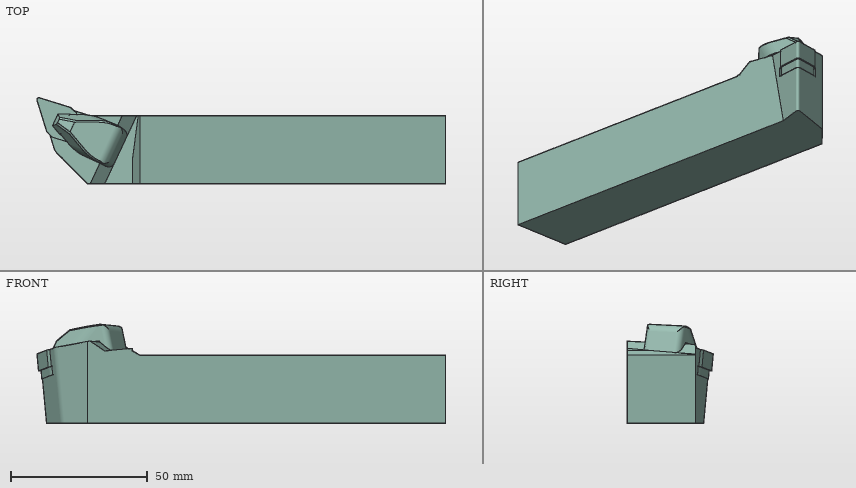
import cadquery as cq
import math

LENGTH = 149.6
SHANK = 25.0

SEAT_TILT = 7.5
TIP_Z = 25.3
TIP_REACH_Y = 31.5

POINT_HALF_ANGLE = 27.5
INSERT_WIDTH = 12.4
INSERT_THICKNESS = 6.3
NOSE_RADIUS = 0.8
CORNER_BEVEL = 2.8

SHIM_THICKNESS = 3.1
SHIM_INSET = 0.6
SHIM_CORNER_RADIUS = 5.5

FLANK_INSET = 0.7
FLANK_BLEND_RADIUS = 5.5
BEVEL_START_X = 18.5
WEDGE_LENGTH = 40.4
BLOCK_START_X = 13.5
HEAD_END_X = 35.0
RAMP_END_X = 37.7
RAMP_RISE = 1.6

STEP_START = 31.9
STEP_END = 36.2
STEP_DEPTH = 4.0

CLAMP_ANGLE = 20.0
CLAMP_OFFSET = -4.8
CLAMP_WIDTH = 15.1
CLAMP_HEIGHT = 6.6
NOSE_START = 10.2
NOSE_WIDTH = 4.6
NOSE_HEIGHT = 3.6
NOSE_TOP_END = 17.8
NOSE_TAPER = 25.0
NOSE_DRAFT = 25.0
PAD_END = 14.2
CLEARANCE = 0.52
BACK_LEAN = 1.2
SIDE_BLEND_RADIUS = 8.7
BACK_CORNER_DIAMETER = 4.3
BACK_TOP_DIAMETER = 6.5
TOP_CHAMFER = 0.52

REACH = 89.8

sin_point = math.sin(math.radians(POINT_HALF_ANGLE))
cos_point = math.cos(math.radians(POINT_HALF_ANGLE))
tan_point = sin_point / cos_point
sin_tilt = math.sin(math.radians(SEAT_TILT))
cos_tilt = math.cos(math.radians(SEAT_TILT))
tan_draft = math.tan(math.radians(NOSE_DRAFT))
cos_45 = math.sqrt(0.5)

sharp_overhang = NOSE_RADIUS * (cos_45 * cos_tilt / sin_point - 1)
tip_x = -sharp_overhang
tip_y = TIP_REACH_Y + sharp_overhang

SEAT = cq.Plane(
    origin=(tip_x, tip_y, TIP_Z),
    xDir=(cos_45 * cos_tilt, -cos_45 * cos_tilt, sin_tilt),
    normal=(-cos_45 * sin_tilt, cos_45 * sin_tilt, cos_tilt),
)
CLAMP_PLANE = SEAT.rotated((0, 0, CLAMP_ANGLE))
SHIM_TOP = -INSERT_THICKNESS
SHIM_BOTTOM = SHIM_TOP - SHIM_THICKNESS


def seat_workplane(height):
    """Workplane parallel to the seat plane, X along the insert's long diagonal from its sharp point."""
    return cq.Workplane(SEAT).workplane(offset=height)


def nearest(place):
    """Selects the edge or face whose centre is nearest to a point."""
    return cq.selectors.NearestToPointSelector(place)


def seat_edge(place):
    """Selects the edge nearest to a point given in seat coordinates."""
    return nearest(SEAT.toWorldCoords(place))


def rhombus(bottom, thickness, inset):
    """Rhombic plate whose two free edges are set back and whose two wall edges stay in place.

    Also returns the selectors of its nose edge and of its two wide corner edges.
    """
    near = inset / sin_point
    far = INSERT_WIDTH / sin_point
    middle = (near + far) / 2
    half_height = (far - near) / 2 * tan_point
    points = [(near, 0), (middle, half_height), (far, 0), (middle, -half_height)]
    plate = seat_workplane(bottom).polyline(points).close().extrude(thickness)
    nose = seat_edge((near, 0, bottom + thickness / 2))
    corners = [
        seat_edge((middle, side * half_height, bottom + thickness / 2))
        for side in (-1, 1)
    ]
    return plate, nose, corners


def make_insert():
    """Insert, square to the seat plane and flush with it."""
    plate, nose, corners = rhombus(SHIM_TOP, INSERT_THICKNESS, 0)
    plate = plate.edges(nose).fillet(NOSE_RADIUS)
    setback = CORNER_BEVEL / 2 / cos_point
    for corner in corners:
        plate = plate.edges(corner).chamfer(setback)
    return plate


def make_shim():
    """Shim plate and the sharp-cornered room that it lies in."""
    room, nose, corners = rhombus(SHIM_BOTTOM, SHIM_THICKNESS, SHIM_INSET)
    room = room.edges(nose).fillet(NOSE_RADIUS)
    shim = room
    for corner in corners:
        shim = shim.edges(corner).fillet(SHIM_CORNER_RADIUS)
    return shim, room


def make_head():
    """Wedge under the seat plane: two flanks square to the seat and an upright 45 degree bevel."""
    apex = FLANK_INSET / sin_point
    bevel = (BEVEL_START_X - tip_x - tip_y) * cos_45
    blend_u = apex - bevel / tan_point
    outline = [
        (apex, 0),
        (WEDGE_LENGTH, (WEDGE_LENGTH - apex) * tan_point),
        (WEDGE_LENGTH, bevel),
        (blend_u, bevel),
    ]
    head = seat_workplane(-REACH / 2).polyline(outline).close().extrude(REACH / 2)
    for u, v, radius in ((apex, 0, NOSE_RADIUS), (blend_u, bevel, FLANK_BLEND_RADIUS)):
        edge = seat_edge((u, v, -REACH / 4))
        head = head.edges(edge).fillet(radius)
    room = cq.Workplane("XY").box(HEAD_END_X, REACH, REACH, centered=False)
    return head.intersect(room)


def make_head_block():
    """Part of the head as wide as the shank, up to the seat plane."""
    outline = [
        (BLOCK_START_X, BEVEL_START_X - BLOCK_START_X),
        (BEVEL_START_X, 0),
        (HEAD_END_X, 0),
        (HEAD_END_X, SHANK),
        (BLOCK_START_X, SHANK),
    ]
    block = cq.Workplane("XY").polyline(outline).close().extrude(REACH)
    above_seat = seat_workplane(0).rect(2 * REACH, 2 * REACH).extrude(REACH)
    return block.cut(above_seat)


def make_shank():
    """Square bar with a short ramp up to the head."""
    profile = [
        (BEVEL_START_X, 0),
        (LENGTH, 0),
        (LENGTH, SHANK),
        (RAMP_END_X, SHANK),
        (HEAD_END_X, SHANK + RAMP_RISE),
        (BEVEL_START_X, SHANK + RAMP_RISE),
    ]
    return cq.Workplane("XZ").polyline(profile).close().extrude(-SHANK)


def clamp_point(distance, sideways, height):
    """Point at a distance along the clamp, measured sideways from its middle."""
    return CLAMP_PLANE.toWorldCoords((distance, CLAMP_OFFSET + sideways, height))


def clamp_profile(points):
    """Closed side outline of points (distance along the clamp, height above the seat)."""
    side = cq.Plane(
        origin=clamp_point(0, 0, 0),
        xDir=CLAMP_PLANE.xDir,
        normal=-CLAMP_PLANE.yDir,
    )
    return cq.Workplane(side).polyline(points).close()


def make_step_cut():
    """Everything above the slope and the shelf at the back of the head."""
    points = [
        (STEP_START, 0),
        (STEP_END, -STEP_DEPTH),
        (REACH, -STEP_DEPTH),
        (REACH, REACH),
        (STEP_START, REACH),
    ]
    return clamp_profile(points).extrude(REACH, both=True)


def make_clamp_wedge():
    """Tapered and drafted block that narrows the clamp towards its nose."""
    taper = math.tan(math.radians(NOSE_TAPER))
    far_end = 2 * STEP_END
    far_half_width = NOSE_WIDTH / 2 + (far_end - NOSE_START) * taper
    outline = [
        (NOSE_START, -NOSE_WIDTH / 2),
        (far_end, -far_half_width),
        (far_end, far_half_width),
        (NOSE_START, NOSE_WIDTH / 2),
    ]
    base = cq.Workplane(CLAMP_PLANE).workplane(offset=-STEP_DEPTH).center(0, CLAMP_OFFSET)
    base = base.polyline(outline).close().offset2D(STEP_DEPTH * tan_draft, "intersection")
    return base.extrude(STEP_DEPTH + CLAMP_HEIGHT, taper=NOSE_DRAFT)


def make_clamp():
    """Clamp with a drafted nose, a sloping nose top and a leaning back."""
    back_top = STEP_END - BACK_LEAN
    foot_front = STEP_START - CLEARANCE * (STEP_END - STEP_START) / STEP_DEPTH
    nose_edge = NOSE_START + NOSE_HEIGHT * tan_draft
    profile = [
        (NOSE_START, 0),
        (nose_edge, NOSE_HEIGHT),
        (NOSE_TOP_END, CLAMP_HEIGHT),
        (back_top, CLAMP_HEIGHT),
        (STEP_END, -STEP_DEPTH),
        (foot_front, CLEARANCE),
        (PAD_END, CLEARANCE),
        (PAD_END, 0),
    ]
    slab = clamp_profile(profile).extrude(CLAMP_WIDTH / 2, both=True)
    clamp = slab.intersect(make_clamp_wedge())

    side_blend_start = NOSE_START + STEP_START / 2
    blends = ((side_blend_start, SIDE_BLEND_RADIUS), (STEP_END, BACK_CORNER_DIAMETER / 2))
    for distance, radius in blends:
        for side in (-1, 1):
            place = clamp_point(distance, side * CLAMP_WIDTH / 2, CLAMP_HEIGHT / 2)
            clamp = clamp.edges(nearest(place)).fillet(radius)

    flat_top = nearest(clamp_point((NOSE_TOP_END + back_top) / 2, 0, CLAMP_HEIGHT))
    nose_top = nearest(clamp_point((nose_edge + NOSE_TOP_END) / 2, 0, (NOSE_HEIGHT + CLAMP_HEIGHT) / 2))
    lengthwise = -cq.selectors.ParallelDirSelector(CLAMP_PLANE.yDir)
    clamp = clamp.faces(flat_top + nose_top).edges(lengthwise).chamfer(TOP_CHAMFER)

    back_edge = nearest(clamp_point(back_top, 0, CLAMP_HEIGHT))
    rounded_slab = slab.edges(back_edge).fillet(BACK_TOP_DIAMETER / 2)
    return clamp.intersect(rounded_slab)


def make_holder(insert):
    """Shank, head, shim and clamp as one solid, with the pocket that the insert fills."""
    shim, shim_room = make_shim()
    holder = make_head().union(make_head_block())
    holder = holder.cut(shim_room).union(shim)
    holder = holder.union(make_shank()).cut(make_step_cut())
    return holder.union(make_clamp()).cut(insert)


insert = make_insert()
holder = make_holder(insert)
result = cq.Compound.makeCompound([holder.val(), insert.val()])